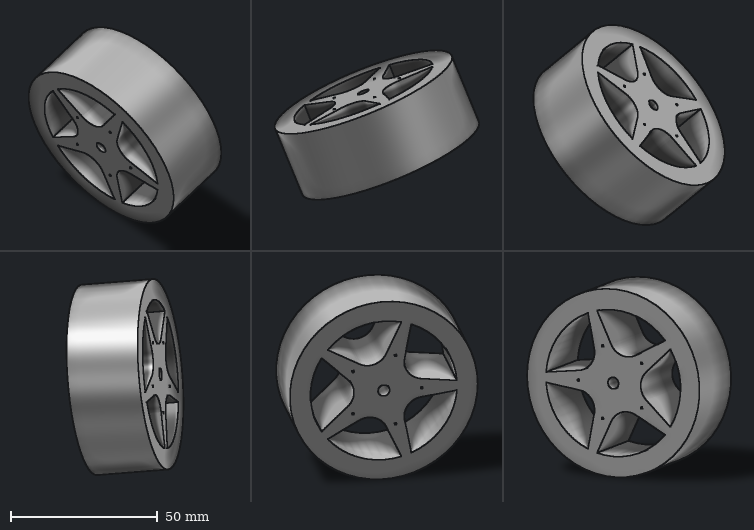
import cadquery as cq
import math

wheel_diameter = 65.27
wheel_width = 25.0
rim_inner_diameter = 50.87
bore_diameter = 4.03
spoke_count = 5
pin_hole_diameter = 0.66
pin_circle_radius = 13.2
spoke_tip_half_width = 1.8
spoke_flank_angle = 7.3
window_corner_radius = 6.7

rim_inner_radius = rim_inner_diameter / 2
spoke_pitch = 360 / spoke_count
half_pitch = spoke_pitch / 2


def polar_point(radius, angle):
    """Flat point at a radius and an angle in degrees."""
    return (radius * math.cos(math.radians(angle)), radius * math.sin(math.radians(angle)))


def face_plane():
    """XZ sketch plane on the back face; extrusion runs toward -Y."""
    return cq.Workplane("XZ", origin=(0, wheel_width / 2, 0))


def make_wheel_blank():
    return face_plane().circle(wheel_diameter / 2).extrude(wheel_width)


def make_window():
    """Opening between two spokes, symmetric about the local X axis, inner corner rounded."""
    rim_corner_angle = half_pitch - math.degrees(math.asin(spoke_tip_half_width / rim_inner_radius))
    upper_corner = polar_point(rim_inner_radius, rim_corner_angle)
    lower_corner = polar_point(rim_inner_radius, -rim_corner_angle)

    flank_angle = half_pitch + spoke_flank_angle
    flank_sine = math.sin(math.radians(flank_angle))
    flank_tangent = math.tan(math.radians(flank_angle))
    apex_x = upper_corner[0] - upper_corner[1] / flank_tangent
    tangent_offset = polar_point(window_corner_radius / flank_tangent, flank_angle)
    tangent_x = apex_x + tangent_offset[0]
    tangent_z = tangent_offset[1]
    arc_middle_x = apex_x + window_corner_radius * (1 / flank_sine - 1)

    return (
        face_plane()
        .moveTo(*lower_corner)
        .threePointArc((rim_inner_radius, 0), upper_corner)
        .lineTo(tangent_x, tangent_z)
        .threePointArc((arc_middle_x, 0), (tangent_x, -tangent_z))
        .close()
        .extrude(wheel_width)
    )


def cut_windows(body):
    window = make_window()
    for index in range(spoke_count):
        turn = -(half_pitch + index * spoke_pitch)
        body = body.cut(window.rotate((0, 0, 0), (0, 1, 0), turn))
    return body


def cut_bore(body):
    return body.cut(face_plane().circle(bore_diameter / 2).extrude(wheel_width))


def cut_pin_holes(body):
    """One small through hole on the centreline of every spoke."""
    pin_holes = (
        face_plane()
        .polarArray(pin_circle_radius, 0, 360, spoke_count)
        .circle(pin_hole_diameter / 2)
        .extrude(wheel_width)
    )
    return body.cut(pin_holes)


wheel = make_wheel_blank()
wheel = cut_windows(wheel)
wheel = cut_bore(wheel)
wheel = cut_pin_holes(wheel)
result = wheel